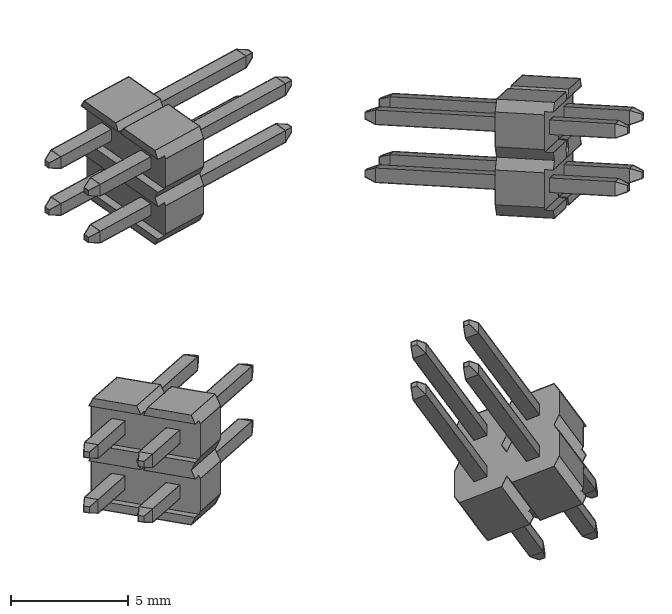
import cadquery as cq

columns = 2
rows = 2
pitch = 2.54
pin_width = 0.63
tip_width = 0.28
tip_length = 0.51
front_pin_length = 3.0
rear_pin_length = 6.0
corner_inset = 0.25
corner_drop = 0.51
rail_height = 0.38
recess_depth = 0.38

housing_depth = pitch
pin_front = -front_pin_length
pin_rear = housing_depth + rear_pin_length


def cell_center(column, row):
    """X and Z of a cell, with the grid centred on the Y axis."""
    x = (column - (columns - 1) / 2) * pitch
    z = (row - (rows - 1) / 2) * pitch
    return x, z


def plane_at(y, direction):
    """XZ sketch plane at the given Y, extruding along direction * Y."""
    return cq.Workplane(cq.Plane(origin=(0, y, 0), xDir=(1, 0, 0), normal=(0, direction, 0)))


def make_cell(x, z):
    """Housing cell: an octagonal block running along Y."""
    half = pitch / 2
    flat_x = half - corner_inset
    flat_z = half - corner_drop
    outline = [
        (flat_x, half),
        (half, flat_z),
        (half, -flat_z),
        (flat_x, -half),
        (-flat_x, -half),
        (-half, -flat_z),
        (-half, flat_z),
        (-flat_x, half),
    ]
    block = plane_at(0, 1).polyline(outline).close().extrude(housing_depth)
    return block.translate((x, 0, z))


def make_recess(z):
    """Cutter that sets back the front face of one row between its rails."""
    width = columns * pitch
    height = pitch - 2 * rail_height
    cutter = cq.Workplane("XY").box(width, recess_depth, height, centered=(True, False, True))
    return cutter.translate((0, 0, z))


def make_tip(y, direction):
    """Tapered pin end that starts at y and narrows along direction * Y."""
    base = plane_at(y, direction).rect(pin_width, pin_width)
    return base.workplane(offset=tip_length).rect(tip_width, tip_width).loft(ruled=True)


def make_pin(x, z):
    """Square pin through the housing, tapered at both ends."""
    shaft_front = pin_front + tip_length
    shaft_rear = pin_rear - tip_length
    shaft = plane_at(shaft_front, 1).rect(pin_width, pin_width).extrude(shaft_rear - shaft_front)
    pin = shaft.union(make_tip(shaft_front, -1)).union(make_tip(shaft_rear, 1))
    return pin.translate((x, 0, z))


centers = [cell_center(column, row) for column in range(columns) for row in range(rows)]

housing = cq.Workplane("XY")
for x, z in centers:
    housing = housing.union(make_cell(x, z))
for row in range(rows):
    housing = housing.cut(make_recess(cell_center(0, row)[1]))
housing = housing.clean()

result = housing
for x, z in centers:
    result = result.union(make_pin(x, z))